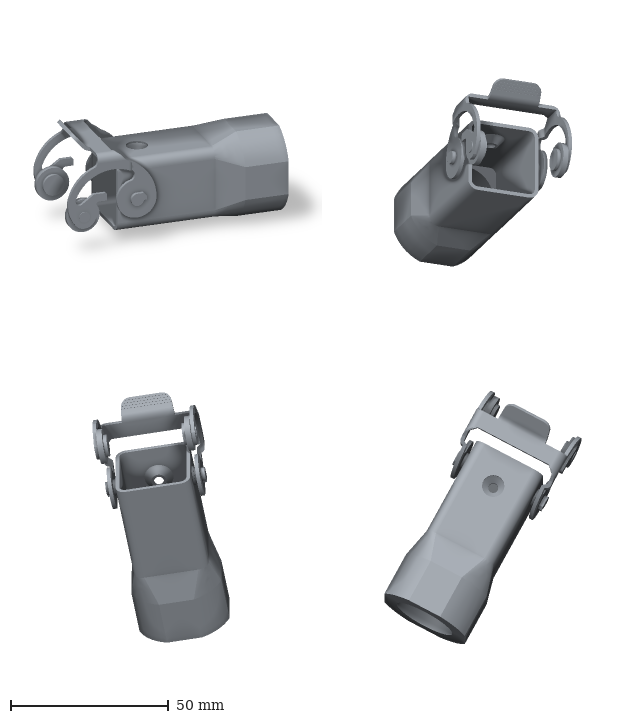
import cadquery as cq
import math

tube_width = 24.0
tube_corner = 3.2
wall = 1.2
cavity_corner = tube_corner - wall
tube_length = 33.1
taper_length = 9.3
body_length = 57.0
cable_end_width = 29.0
cable_end_corner_radius = 15.55
bore_diameter = 20.0

screw_y = 11.0
cone_top_radius = 3.5
rim_depth = 0.6
screw_hole_radius = 1.6
cone_depth = 2.85
seat_top_radius = 5.7
seat_bottom_radius = 2.4
seat_depth = 3.5

sheet = 1.2
lever_half_width = 16.2
bridge_top = 17.2
bridge_back = -2.5
bridge_front = -8.0
bend_radius = 2.6
bridge_half_width = 12.85
arm_inner = lever_half_width - sheet
disc_outer = 14.7
disc_inner = disc_outer - sheet
jog_back = 3.9
jog_front = 2.55
jog_crest_x = 15.7
jog_crest_y = 3.5
jog_inset = 0.3

pivot_y = 5.5
pivot_z = 0.15
disc_radius = 6.55
disc_back = 12.25
disc_top = 9
collar_radius = 3
collar_outer = 12.6
neck_radius = 2.55
head_radius = 2.1
head_outer = 16.0
ear_length = 3
ear_bottom = -0.15
ear_chamfer = 1.0

roller_y = -12.6
roller_z = -3.15
roller_radius = 5.55
roller_inner = 13.2
hub_radius = 3.5
hub_inner = 12.1
rivet_radius = 1.8
rivet_outer = 16.5
arm_end_radius = 4.0

tab_angle = math.radians(48)
tab_bend_radius = 1.95
tab_length = 5.3
tab_half_root = 9
tab_half_tip = 7.8
tab_blank_length = 12
tab_corner = 3
groove_count = 4
groove_pitch = 0.9
groove_width = 0.2
groove_depth = 0.15


def cylinder_x(y, z, radius, x_start, x_end):
    """Cylinder along X between two X positions."""
    return cq.Workplane("YZ", origin=(x_start, y, z)).circle(radius).extrude(x_end - x_start)


def octagon_outline(workplane, half_size, half_flat, bulge_radius):
    """Square with arc corners: four flats joined by four arcs bulging to the given radius."""
    mid = bulge_radius / math.sqrt(2)
    return (
        workplane.moveTo(-half_flat, half_size)
        .lineTo(half_flat, half_size)
        .threePointArc((mid, mid), (half_size, half_flat))
        .lineTo(half_size, -half_flat)
        .threePointArc((mid, -mid), (half_flat, -half_size))
        .lineTo(-half_flat, -half_size)
        .threePointArc((-mid, -mid), (-half_size, -half_flat))
        .lineTo(-half_size, half_flat)
        .threePointArc((-mid, mid), (-half_flat, half_size))
        .close()
    )


def make_body():
    tube_half = tube_width / 2
    tube_flat = tube_half - tube_corner
    tube_bulge = tube_flat * math.sqrt(2) + tube_corner
    end_half = cable_end_width / 2
    end_flat = math.sqrt(cable_end_corner_radius**2 - end_half**2)
    tube_outline = (tube_half, tube_flat, tube_bulge)
    end_outline = (end_half, end_flat, cable_end_corner_radius)

    taper_end = tube_length + taper_length
    tube = octagon_outline(cq.Workplane("XZ"), *tube_outline).extrude(-tube_length)
    taper = octagon_outline(cq.Workplane("XZ", origin=(0, tube_length, 0)), *tube_outline)
    taper = octagon_outline(taper.workplane(offset=-taper_length), *end_outline).loft(ruled=True)
    cable_end = octagon_outline(cq.Workplane("XZ", origin=(0, taper_end, 0)), *end_outline)
    cable_end = cable_end.extrude(taper_end - body_length)

    cavity_width = tube_width - 2 * wall
    cavity = cq.Workplane("XZ").rect(cavity_width, cavity_width).extrude(-tube_length)
    cavity = cavity.edges("|Y").fillet(cavity_corner)
    bore = cq.Workplane("XZ").circle(bore_diameter / 2).extrude(-body_length)
    return tube.union(taper).union(cable_end).cut(cavity).cut(bore)


def revolve_screw_profile(points):
    """Solid of revolution about the vertical screw axis, from (radius, depth) points."""
    profile = cq.Workplane("XZ", origin=(0, screw_y, tube_width / 2)).polyline(points).close()
    return profile.revolve(360, (0, 0), (0, 1))


def add_screw_seat(body):
    slope = (seat_top_radius - seat_bottom_radius) / seat_depth
    seat_radius_in_wall = seat_top_radius - slope * wall / 2
    seat = revolve_screw_profile([
        (0, -wall / 2),
        (seat_radius_in_wall, -wall / 2),
        (seat_bottom_radius, -seat_depth),
        (0, -seat_depth),
    ])
    hole = revolve_screw_profile([
        (0, 0),
        (cone_top_radius, 0),
        (cone_top_radius, -rim_depth),
        (screw_hole_radius, -cone_depth),
        (screw_hole_radius, -seat_depth),
        (0, -seat_depth),
    ])
    return body.union(seat).cut(hole)


def make_lever_side():
    """Side outline of the lever in Y and Z, extruded across its full width."""
    arm_end_bottom = roller_z - arm_end_radius
    arm_end_back = roller_y + arm_end_radius
    disc_front = pivot_y - disc_radius
    disc_bottom = pivot_z - disc_radius
    return (
        cq.Workplane("YZ", origin=(-lever_half_width, 0, 0))
        .moveTo(disc_back, pivot_z)
        .threePointArc((8.95, 9.1), (4.0, 12.85))
        .lineTo(1.4, 14.5)
        .lineTo(-0.15, 16.3)
        .lineTo(-1.7, bridge_top)
        .lineTo(bridge_front, bridge_top)
        .lineTo(bridge_front, 15.55)
        .threePointArc((-8.2, 14.3), (-8.8, 13.4))
        .threePointArc((-14.1, 9.9), (-18.1, 1.95))
        .threePointArc((-17.5, -2.4), (-14.9, -6.5))
        .threePointArc((roller_y, arm_end_bottom), (arm_end_back, roller_z))
        .lineTo(arm_end_back, 0.5)
        .threePointArc((-8.35, 1.2), (-7.7, 1.5))
        .lineTo(-4.95, 1.5)
        .lineTo(-4.95, 3.4)
        .threePointArc((-5.2, 3.9), (-5.7, 4.1))
        .lineTo(-9.4, 4.1)
        .lineTo(-13.1, 1.5)
        .threePointArc((-15.1, 1.35), (-15.55, 3))
        .threePointArc((-2.9, 11.9), (3.8, 10.15))
        .threePointArc((5.0, 8.3), (3.1, 6.25))
        .threePointArc((disc_front, pivot_z), (pivot_y, disc_bottom))
        .threePointArc((10.4, -4.5), (disc_back, pivot_z))
        .close()
        .extrude(2 * lever_half_width)
    )


def make_arm_strip():
    """Plan of one arm: the sheet steps inwards behind the mouth to reach the pivot disc."""
    strip = (
        cq.Workplane("XY")
        .moveTo(lever_half_width, -body_length)
        .lineTo(lever_half_width, jog_front)
        .threePointArc((jog_crest_x, jog_crest_y), (disc_outer, jog_back))
        .lineTo(disc_outer, body_length)
        .lineTo(disc_inner, body_length)
        .lineTo(disc_inner, jog_back - jog_inset)
        .lineTo(arm_inner, jog_front)
        .lineTo(arm_inner, -body_length)
        .close()
    )
    strip = strip.extrude(body_length, both=True)
    disc_front = pivot_y - disc_radius - sheet
    disc_space = (
        cq.Workplane("XY", origin=(0, 0, disc_top))
        .moveTo(0, disc_front)
        .lineTo(lever_half_width, disc_front)
        .lineTo(lever_half_width, body_length)
        .lineTo(0, body_length)
        .close()
        .extrude(-body_length)
    )
    disc_plate = cq.Workplane("YZ", origin=(disc_inner, 0, 0)).rect(2 * body_length, 2 * body_length)
    disc_plate = disc_plate.extrude(disc_outer - disc_inner)
    return strip.cut(disc_space).union(disc_plate.intersect(disc_space))


def make_bridge_blank():
    """Flat top sheet; its rear edge slants back to meet the arms."""
    slant = lever_half_width - bridge_half_width
    blank = (
        cq.Workplane("XY", origin=(0, 0, bridge_top - sheet))
        .moveTo(-lever_half_width, bridge_front)
        .lineTo(lever_half_width, bridge_front)
        .lineTo(lever_half_width, bridge_back + slant)
        .lineTo(bridge_half_width, bridge_back)
        .lineTo(-bridge_half_width, bridge_back)
        .lineTo(-lever_half_width, bridge_back + slant)
        .close()
    )
    return blank.extrude(sheet)


def make_bend_envelope():
    """Block whose two upper edges carry the outer bend radius of the sheet."""
    drop = 2 * bridge_top
    block = cq.Workplane("XY").box(2 * lever_half_width, 2 * body_length, drop)
    return block.edges("|Y and >Z").fillet(bend_radius)


def make_tab():
    """Finger tab: the sheet turns up from the bridge, narrows and ends in round corners."""
    sine = math.sin(tab_angle)
    cosine = math.cos(tab_angle)
    half_sine = math.sin(tab_angle / 2)
    half_cosine = math.cos(tab_angle / 2)
    outer_bend = tab_bend_radius + sheet
    bend_z = bridge_top + tab_bend_radius

    def on_bend(radius, sin_value, cos_value):
        return (bridge_front - radius * sin_value, bend_z - radius * cos_value)

    inner_end_y, inner_end_z = on_bend(tab_bend_radius, sine, cosine)
    tip_y = inner_end_y - tab_length * cosine
    tip_z = inner_end_z + tab_length * sine
    under_tip_y = tip_y - sheet * sine
    under_tip_z = tip_z - sheet * cosine
    bent_sheet = (
        cq.Workplane("YZ", origin=(-tab_half_root, 0, 0))
        .moveTo(bridge_front, bridge_top)
        .threePointArc(on_bend(tab_bend_radius, half_sine, half_cosine), (inner_end_y, inner_end_z))
        .lineTo(tip_y, tip_z)
        .lineTo(under_tip_y, under_tip_z)
        .lineTo(*on_bend(outer_bend, sine, cosine))
        .threePointArc(on_bend(outer_bend, half_sine, half_cosine), (bridge_front, bridge_top - sheet))
        .close()
        .extrude(2 * tab_half_root)
    )

    normal = (0, -sine, -cosine)
    tip_plane = cq.Plane(origin=(0, tip_y, tip_z), xDir=(1, 0, 0), normal=normal)
    blank = cq.Workplane(tip_plane).polyline([
        (-tab_half_tip, 0),
        (tab_half_tip, 0),
        (tab_half_root, -tab_blank_length),
        (-tab_half_root, -tab_blank_length),
    ])
    blank = blank.close().extrude(2 * outer_bend, both=True)
    blank = blank.edges(cq.selectors.ParallelDirSelector(cq.Vector(*normal))).fillet(tab_corner)
    tab = bent_sheet.intersect(blank)

    groove_places = [(0, -groove_pitch * (i + 1)) for i in range(groove_count)]
    grooves = (
        cq.Workplane(tip_plane)
        .workplane(offset=sheet - groove_depth)
        .pushPoints(groove_places)
        .rect(2 * tab_half_root, groove_width)
        .extrude(groove_depth)
    )
    return tab.cut(grooves)


def make_pivot():
    """Pivot pin on the +X side: collar and neck to the body, eared head outside the disc."""
    collar = cylinder_x(pivot_y, pivot_z, collar_radius, tube_width / 2 - wall / 2, collar_outer)
    neck = cylinder_x(pivot_y, pivot_z, neck_radius, collar_outer, disc_inner)
    head = cylinder_x(pivot_y, pivot_z, head_radius, disc_outer, head_outer)
    ear = (
        cq.Workplane("YZ", origin=(disc_outer, 0, 0))
        .moveTo(pivot_y, ear_bottom)
        .lineTo(pivot_y + ear_length, ear_bottom)
        .lineTo(pivot_y + ear_length, pivot_z + head_radius - ear_chamfer)
        .lineTo(pivot_y + ear_length - ear_chamfer, pivot_z + head_radius)
        .lineTo(pivot_y, pivot_z + head_radius)
        .close()
        .extrude(head_outer - disc_outer)
    )
    return collar.union(neck).union(head).union(ear)


def make_roller():
    """Roller on the +X side with its hub inside and its rivet head outside the arm."""
    roller = cylinder_x(roller_y, roller_z, roller_radius, roller_inner, arm_inner)
    hub = cylinder_x(roller_y, roller_z, hub_radius, hub_inner, roller_inner)
    rivet = cylinder_x(roller_y, roller_z, rivet_radius, arm_inner, rivet_outer)
    return roller.union(hub).union(rivet)


def with_mirror(part):
    """The +X part together with its -X counterpart."""
    return part.union(part.mirror("YZ"))


def make_lever():
    side = make_lever_side()
    arms = with_mirror(make_arm_strip())
    sheet_blank = arms.union(make_bridge_blank())
    return side.intersect(sheet_blank).intersect(make_bend_envelope()).union(make_tab())


body = add_screw_seat(make_body())
hardware = with_mirror(make_pivot().union(make_roller()))
result = body.union(make_lever()).union(hardware)